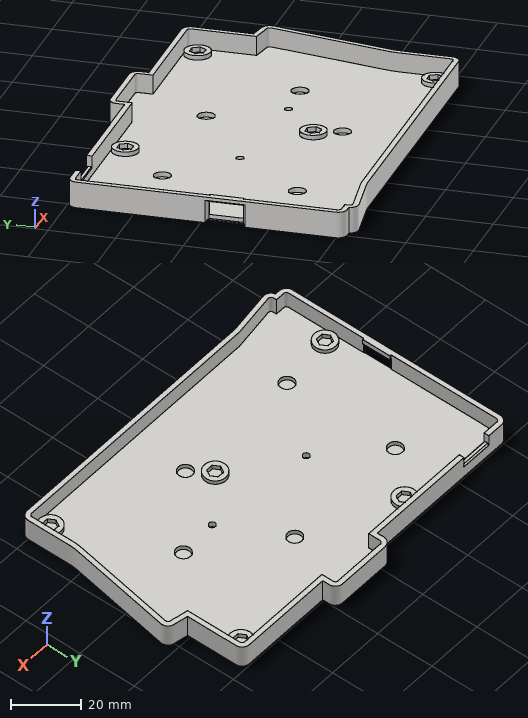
import cadquery as cq
import math

length = 124.5
height = 8.0
wall = 1.7
floor_thickness = 2.1
inner_corner_radius = 1.0

cavity_left = wall
cavity_right = 115.7
cavity_front = wall
cavity_back = 80.5

tab_left = 59.7
tab_right = 80.5
tab_back = 85.5

wing_back = 60.2
wing_tilt = math.radians(10.5)
wing_blend_radius = 19.9

lip_left = 6.0
lip_right = 22.3
lip_tilt = math.radians(8)

boss_diameter = 7.8
boss_height = 1.4
nut_corner_diameter = 4.9
nut_depth = 1.5
boss_places = [(38.7, 76.3), (111.5, 76.3), (65.4, 28.5), (6.0, 19.7), (111.5, 6.0)]

pocket_diameter = 5.1
pocket_depth = 1.5
pocket_places = [(24.8, 61.3), (69.7, 61.5), (94.7, 41.1), (24.8, 21.3), (69.7, 21.2)]
hole_diameter = 2.2
hole_places = [(43.2, 43.7), (81.1, 40.5)]

port_center_y = 35.5
port_width = 10.1
port_top = 6.1
port_sill = 0.9
port_flare = 0.9
port_recess_depth = 1.5
port_pad_thickness = 0.5

notch_left = 8.3
notch_right = 19.4
notch_bottom = 4.6
notch_outer_chamfer = 0.5
notch_inner_chamfer = 0.2


def cavity_outline():
    """Closed cavity outline: rounded outward corners, plus a gentle blend where the wing begins."""
    r = inner_corner_radius
    wing_tip_x = length - wall - r + r * (math.sin(wing_tilt) + math.cos(wing_tilt))
    wing_reach = wing_tip_x - cavity_right
    wing_tip_y = wing_back - wing_reach * math.tan(wing_tilt)
    wing_start = wing_tip_y - wing_reach / math.tan(wing_tilt)
    lip_drop = (lip_right - lip_left) * math.tan(lip_tilt)
    corners = [
        (cavity_left, cavity_front, r),
        (lip_left, cavity_front, 0),
        (lip_left, cavity_front - lip_drop, r),
        (lip_right, cavity_front, 0),
        (cavity_right, cavity_front, r),
        (cavity_right, wing_start, wing_blend_radius),
        (wing_tip_x, wing_tip_y, r),
        (cavity_right, wing_back, 0),
        (cavity_right, cavity_back, r),
        (tab_right, cavity_back, 0),
        (tab_right, tab_back, r),
        (tab_left, tab_back, r),
        (tab_left, cavity_back, 0),
        (cavity_left, cavity_back, r),
    ]
    outline = cq.Wire.makePolygon([cq.Vector(x, y, 0) for x, y, _ in corners], close=True)
    for x, y, radius in corners:
        if radius > 0:
            corner = min(outline.Vertices(), key=lambda v: math.hypot(v.X - x, v.Y - y))
            outline = outline.fillet2D(radius, [corner])
    return outline


def make_tray():
    inner = cavity_outline()
    outer = inner.offset2D(wall, "arc")[0]
    body = cq.Workplane(obj=cq.Solid.extrudeLinear(outer, [], cq.Vector(0, 0, height)))
    cavity = cq.Solid.extrudeLinear(inner, [], cq.Vector(0, 0, height))
    return body.cut(cq.Workplane(obj=cavity.translate(cq.Vector(0, 0, floor_thickness))))


def on_floor(places, z=floor_thickness):
    return cq.Workplane("XY").workplane(offset=z).pushPoints(places)


def box(x0, x1, y0, y1, z0, z1):
    return cq.Workplane("XY").box(x1 - x0, y1 - y0, z1 - z0, centered=False).translate((x0, y0, z0))


def add_bosses(tray):
    boss_top = floor_thickness + boss_height
    tray = tray.union(on_floor(boss_places).circle(boss_diameter / 2).extrude(boss_height))
    return tray.cut(on_floor(boss_places, boss_top).polygon(6, nut_corner_diameter).extrude(-nut_depth))


def cut_floor_holes(tray):
    tray = tray.cut(on_floor(pocket_places).circle(pocket_diameter / 2).extrude(-pocket_depth))
    return tray.cut(on_floor(hole_places).circle(hole_diameter / 2).extrude(-floor_thickness))


def cut_port(tray):
    """Window through a padded wall, with a flared recess outside that also opens below the floor."""
    y0 = port_center_y - port_width / 2
    y1 = port_center_y + port_width / 2
    pad_face = wall + port_pad_thickness
    pad = box(0, pad_face, y0, y1, floor_thickness, height)
    window = box(0, pad_face, y0, y1, floor_thickness, port_top)
    flared_width = port_width + 2 * port_flare
    recess = (
        cq.Workplane("YZ")
        .center(port_center_y, port_top / 2)
        .rect(flared_width, port_top + 2 * port_flare)
        .workplane(offset=port_recess_depth)
        .rect(port_width, port_top)
        .loft()
    )
    relief_depth = port_recess_depth + port_flare
    relief = (
        cq.Workplane("XY")
        .center(0, port_center_y)
        .rect(2 * relief_depth, flared_width)
        .workplane(offset=port_sill)
        .rect(2 * port_recess_depth, port_width)
        .loft()
    )
    return tray.union(pad).cut(window).cut(recess).cut(relief)


def cut_notch(tray):
    """Open-topped notch whose sill is chamfered along both faces of the back wall."""
    outer_face = cavity_back + wall
    profile = [
        (cavity_back, height),
        (cavity_back, notch_bottom - notch_inner_chamfer),
        (cavity_back + notch_inner_chamfer, notch_bottom),
        (outer_face - notch_outer_chamfer, notch_bottom),
        (outer_face, notch_bottom - notch_outer_chamfer),
        (outer_face, height),
    ]
    cutter = cq.Workplane("YZ").polyline(profile).close().extrude(notch_right - notch_left)
    return tray.cut(cutter.translate((notch_left, 0, 0)))


result = cut_notch(cut_port(cut_floor_holes(add_bosses(make_tray()))))